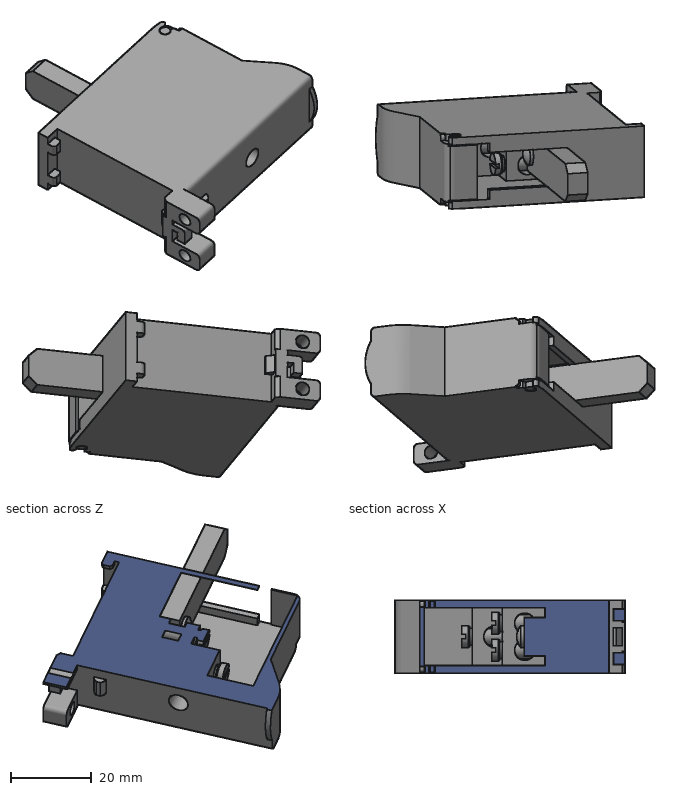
import cadquery as cq
import math

LENGTH = 69.7
HEIGHT = 57.2
WIDTH = 18.2
MID_Z = WIDTH / 2

FRONT_X = 19.25
BACK_X = 61.2
SHOULDER_Y = 51.1
SLOPE_X = 43.85
SLOPE_ANGLE = math.radians(30)
CREST_X = 56.9
CREST_RADIUS = 11.15
CORNER_RADIUS = 2.2
EDGE_RADIUS = 1.1

RECESS_START_X = 22.15
RECESS_END_X = 58.1
RECESS_DEPTH = 4.0
FOOT_HEIGHT = 6.1
HEEL_CHAMFER_X = 1.1
HEEL_CHAMFER_Y = 0.8
PRONG_WIDTH = 5.5
EAR_HOLE_X = 65.1
EAR_HOLE_OFFSET = 6.3
EAR_HOLE_DIAMETER = 3.4

HOOK_HEIGHT = 2.9
HOOK_REACH = 2.15
HOOK_WIDTH = 3.0
HOOK_OFFSET = 5.45
HOOK_ROUND_LENGTH = 1.1
HOOK_ROUND_RADIUS = 1.2
HOOK_BEVEL = 0.55
LATCH_WIDTH = 4.5
LATCH_TIP_X = 56.2
LATCH_TIP_Y = 2.2
TAB_END_X = 65.0
TAB_NOTCH_X = 62.7
TAB_NOTCH_WIDTH = 2.6
TAB_RADIUS = 0.85

STOP_REACH = 1.5
LIP_DEPTH = 1.3
LIP_HALF_SPAN = 5.65
BEAD_BOTTOM_Y = 10.5
BEAD_TOP_Y = 13.7
BEAD_FLAT_HALF = 0.5
BEAD_RADIUS = 2.3

BLADE_WIDTH = 9.6
BLADE_BOTTOM_Y = 19.9
BLADE_TOP_Y = 25.1
BLADE_CHAMFER_X = 2.2
BLADE_CHAMFER_Z = 2.1

SIDE_WALL = 1.95
FRONT_WALL = 1.7
COVER_THICKNESS = 0.55
COVER_GAP = 0.2
COVER_BOTTOM_Y = 43.1
WIDE_OPENING_Y = 39.9
CAVITY_TOP_Y = 49.9
LOWER_STEP_X = 37.65
LOWER_STEP_Y = 30.5
UPPER_STEP_X = 44.6
UPPER_STEP_Y = 38.0
CAVITY_BACK_X = 54.4

HEAD_RADIUS = 2.7
HEAD_BASE_RADIUS = 2.45
HEAD_GAP = 0.6
HEAD_BEVEL = 0.4
HEAD_HEIGHT = 2.6
SLOT_DEPTH = 0.9
SLOT_WIDTH = 1.1
SHANK_RADIUS = 2.1
WIRE_HOLE_RADIUS = 2.5
SHANK_OVERRUN = 0.4
SCREW_SETBACK = 3.15
PAIR_OFFSET = 3.35
UPPER_WIRE_Y = 32.6
LOWER_WIRE_Y = 24.95
LOWER_WIRE_DEPTH = 7.0
CROWN_EDGE_HEIGHT = 0.85
CROWN_HEIGHT = 1.9

PIN_X = 22.15
PIN_Y = 47.95
PIN_RADIUS = 1.3
PIN_DROP = 0.2
HINGE_DEPTH = 1.7
SOCKET_RADIUS = 1.4
RELIEF_BASE_Y = 50.0
RELIEF_END_X = 24.95
EAR_PEAK = (20.2, 50.1)
EAR_SHOULDER = (20.85, 49.85)
NECK_HALF_WIDTH = 1.05
NECK_RISE = 0.8
NECK_FLARE = 0.35
SILL_RADIUS = 0.85
SILL_DEPTH = 1.1
WALL_CORNER = [(FRONT_X, 46.1), (FRONT_X + 0.1, 47.75), (FRONT_X + 0.3, 49.4), (FRONT_X + 0.5, 49.85)]


def bar(x0, x1, y0, y1, z0, z1):
    """Box between two opposite corners."""
    return cq.Workplane("XY").box(x1 - x0, y1 - y0, z1 - z0, centered=False).translate((x0, y0, z0))


def centred_bar(x0, x1, y0, y1, width, mid_z=MID_Z):
    """Box of the given width, centred on mid_z."""
    return bar(x0, x1, y0, y1, mid_z - width / 2, mid_z + width / 2)


def plate(outline, width, mid_z=MID_Z):
    """Extrude an XY outline to the given width, centred on mid_z."""
    return outline.close().extrude(width).translate((0, 0, mid_z - width / 2))


def post(radius, x, y0, y1, z):
    """Round post standing along Y."""
    return cq.Workplane("XZ", origin=(x, y0, z)).circle(radius).extrude(y0 - y1)


def make_housing():
    """Main block with the raised crest and the recess that sits over the rail."""
    sin_a, cos_a = math.sin(SLOPE_ANGLE), math.cos(SLOPE_ANGLE)
    arc_centre_y = HEIGHT - CREST_RADIUS
    arc_start = (CREST_X - CREST_RADIUS * sin_a, arc_centre_y + CREST_RADIUS * cos_a)
    arc_middle = (
        CREST_X - CREST_RADIUS * math.sin(SLOPE_ANGLE / 2),
        arc_centre_y + CREST_RADIUS * math.cos(SLOPE_ANGLE / 2),
    )
    outline = (
        cq.Workplane("XY")
        .moveTo(FRONT_X, 0)
        .lineTo(FRONT_X, SHOULDER_Y - CORNER_RADIUS)
        .radiusArc((FRONT_X + CORNER_RADIUS, SHOULDER_Y), CORNER_RADIUS)
        .lineTo(SLOPE_X, SHOULDER_Y)
        .lineTo(*arc_start)
        .threePointArc(arc_middle, (CREST_X, HEIGHT))
        .lineTo(BACK_X, HEIGHT)
        .lineTo(BACK_X, 0)
    )
    housing = plate(outline, WIDTH).edges(">X and |Y").fillet(EDGE_RADIUS)
    return housing.cut(bar(RECESS_START_X, RECESS_END_X, 0, RECESS_DEPTH, 0, WIDTH))


def make_foot():
    """Two rounded mounting prongs with a chamfered heel, joined by a plain web."""
    foot = centred_bar(RECESS_END_X, BACK_X, 0, FOOT_HEIGHT, WIDTH - 2 * PRONG_WIDTH)
    for side in (-1, 1):
        mid_z = MID_Z + side * (WIDTH - PRONG_WIDTH) / 2
        prong = centred_bar(RECESS_END_X, LENGTH, 0, FOOT_HEIGHT, PRONG_WIDTH, mid_z)
        prong = prong.edges(">X and |Y").fillet(EDGE_RADIUS)
        heel = cq.Workplane("XY").polyline([
            (RECESS_END_X, 0),
            (RECESS_END_X + HEEL_CHAMFER_X, 0),
            (RECESS_END_X, HEEL_CHAMFER_Y),
        ])
        prong = prong.cut(plate(heel, PRONG_WIDTH, mid_z))
        hole_z = MID_Z + side * EAR_HOLE_OFFSET
        foot = foot.union(prong.cut(post(EAR_HOLE_DIAMETER / 2, EAR_HOLE_X, 0, FOOT_HEIGHT, hole_z)))
    return foot


def make_rail_hooks():
    """Two fixed hooks with a rounded nose and a bevelled upper edge."""
    nose_x = RECESS_START_X + HOOK_REACH
    nose_y = HOOK_ROUND_RADIUS - math.sqrt(HOOK_ROUND_RADIUS**2 - HOOK_ROUND_LENGTH**2)
    hooks = cq.Workplane("XY")
    for side in (-1, 1):
        outline = (
            cq.Workplane("XY")
            .moveTo(FRONT_X, 0)
            .lineTo(nose_x - HOOK_ROUND_LENGTH, 0)
            .radiusArc((nose_x, nose_y), -HOOK_ROUND_RADIUS)
            .lineTo(nose_x, HOOK_HEIGHT - HOOK_BEVEL)
            .lineTo(nose_x - HOOK_BEVEL, HOOK_HEIGHT)
            .lineTo(FRONT_X, HOOK_HEIGHT)
        )
        hooks = hooks.union(plate(outline, HOOK_WIDTH, MID_Z + side * HOOK_OFFSET))
    return hooks


def make_latch():
    """Wedge-shaped rail catch and the hooked pull tab on its other end."""
    catch = cq.Workplane("XY").polyline([
        (LATCH_TIP_X, HOOK_HEIGHT),
        (LATCH_TIP_X, LATCH_TIP_Y),
        (RECESS_END_X, HEEL_CHAMFER_Y),
        (BACK_X, HEEL_CHAMFER_Y),
        (BACK_X, HOOK_HEIGHT),
    ])
    tab_bottom_z = MID_Z - LATCH_WIDTH / 2
    tab = centred_bar(RECESS_END_X, TAB_END_X, 0, HOOK_HEIGHT, LATCH_WIDTH)
    tab = tab.edges(">X and >Z").fillet(TAB_RADIUS)
    notch = bar(BACK_X, TAB_NOTCH_X, 0, HOOK_HEIGHT, tab_bottom_z, tab_bottom_z + TAB_NOTCH_WIDTH)
    return plate(catch, LATCH_WIDTH).union(tab.cut(notch))


def make_back_stops():
    """Bowed lip at the crest and rounded bead low on the back face."""
    stop_x = BACK_X + STOP_REACH
    lip = (
        cq.Workplane("XZ", origin=(0, HEIGHT, 0))
        .moveTo(BACK_X - EDGE_RADIUS, MID_Z - LIP_HALF_SPAN)
        .lineTo(BACK_X, MID_Z - LIP_HALF_SPAN)
        .threePointArc((stop_x, MID_Z), (BACK_X, MID_Z + LIP_HALF_SPAN))
        .lineTo(BACK_X - EDGE_RADIUS, MID_Z + LIP_HALF_SPAN)
        .close()
        .extrude(LIP_DEPTH)
    )
    bead_y = (BEAD_BOTTOM_Y + BEAD_TOP_Y) / 2
    bead = (
        cq.Workplane("XY")
        .moveTo(BACK_X, BEAD_BOTTOM_Y)
        .radiusArc((stop_x, bead_y - BEAD_FLAT_HALF), -BEAD_RADIUS)
        .lineTo(stop_x, bead_y + BEAD_FLAT_HALF)
        .radiusArc((BACK_X, BEAD_TOP_Y), -BEAD_RADIUS)
    )
    return lip.union(plate(bead, LATCH_WIDTH))


def make_cavity():
    """Stepped inner space, open at the front below the cover."""
    wall_x = FRONT_X + FRONT_WALL
    inner_width = WIDTH - 2 * SIDE_WALL
    steps = cq.Workplane("XY").polyline([
        (wall_x, BLADE_BOTTOM_Y),
        (LOWER_STEP_X, BLADE_BOTTOM_Y),
        (LOWER_STEP_X, LOWER_STEP_Y),
        (UPPER_STEP_X, LOWER_STEP_Y),
        (UPPER_STEP_X, UPPER_STEP_Y),
        (CAVITY_BACK_X, UPPER_STEP_Y),
        (CAVITY_BACK_X, CAVITY_TOP_Y),
        (wall_x, CAVITY_TOP_Y),
    ])
    cavity = plate(steps, inner_width)
    cavity = cavity.union(centred_bar(FRONT_X, wall_x, BLADE_BOTTOM_Y, WIDE_OPENING_Y, BLADE_WIDTH))
    cavity = cavity.union(centred_bar(FRONT_X, wall_x, WIDE_OPENING_Y, COVER_BOTTOM_Y, inner_width))
    behind_cover_x = FRONT_X + COVER_THICKNESS
    return cavity.union(centred_bar(behind_cover_x, wall_x, COVER_BOTTOM_Y, CAVITY_TOP_Y, inner_width))


def make_cover_gaps():
    """Narrow grooves between the side walls and the cover."""
    gaps = cq.Workplane("XY")
    for side in (-1, 1):
        mid_z = MID_Z + side * (MID_Z - SIDE_WALL - COVER_GAP / 2)
        gap = centred_bar(FRONT_X, FRONT_X + COVER_THICKNESS, COVER_BOTTOM_Y, SHOULDER_Y, COVER_GAP, mid_z)
        gaps = gaps.union(gap)
    return gaps


def make_blade():
    """Contact blade with a bevelled tip, running in to the lower step."""
    blade = centred_bar(0, LOWER_STEP_X, BLADE_BOTTOM_Y, BLADE_TOP_Y, BLADE_WIDTH)
    corners = cq.Workplane("XZ", origin=(0, BLADE_TOP_Y, 0))
    for side in (-1, 1):
        edge_z = MID_Z + side * BLADE_WIDTH / 2
        corners = corners.polyline([
            (0, edge_z),
            (BLADE_CHAMFER_X, edge_z),
            (0, edge_z - side * BLADE_CHAMFER_Z),
        ]).close()
    return blade.cut(corners.extrude(BLADE_TOP_Y - BLADE_BOTTOM_Y))


def make_screw(step_x, step_y, wire_y, z):
    """Slotted terminal screw whose shank crosses the wire hole under its step."""
    x = step_x + SCREW_SETBACK
    base_y = step_y + HEAD_GAP
    top_y = step_y + HEAD_HEIGHT
    head = (
        cq.Workplane("XY")
        .polyline([
            (0, base_y),
            (-HEAD_BASE_RADIUS, base_y),
            (-HEAD_RADIUS, base_y + HEAD_BEVEL),
            (-HEAD_RADIUS, top_y),
            (0, top_y),
        ])
        .close()
        .revolve(360, (0, 0), (0, 1))
        .translate((x, 0, z))
    )
    slot = centred_bar(x - HEAD_RADIUS, x + HEAD_RADIUS, top_y - SLOT_DEPTH, top_y, SLOT_WIDTH, z)
    shank = post(SHANK_RADIUS, x, wire_y - WIRE_HOLE_RADIUS - SHANK_OVERRUN, base_y, z)
    return head.cut(slot).union(shank)


def make_wire_hole(step_x, wire_y, z, depth):
    """Round wire entry running along X from the face of a step."""
    return cq.Workplane("YZ", origin=(step_x, wire_y, z)).circle(WIRE_HOLE_RADIUS).extrude(depth)


def make_crowned_screw():
    """Low domed screw head on the blade, in front of the lower step."""
    edge_y = BLADE_TOP_Y + CROWN_EDGE_HEIGHT
    rise = CROWN_HEIGHT - CROWN_EDGE_HEIGHT
    crown_radius = (HEAD_RADIUS**2 + rise**2) / (2 * rise)
    return (
        cq.Workplane("XY")
        .moveTo(0, BLADE_TOP_Y)
        .lineTo(-HEAD_RADIUS, BLADE_TOP_Y)
        .lineTo(-HEAD_RADIUS, edge_y)
        .radiusArc((0, BLADE_TOP_Y + CROWN_HEIGHT), crown_radius)
        .close()
        .revolve(360, (0, 0), (0, 1))
        .translate((LOWER_STEP_X - SCREW_SETBACK, 0, MID_Z))
    )


def make_hinge_relief(side):
    """Pocket in one side wall around the hinge, with the wall corner set back behind the cover."""
    outer_z = MID_Z + side * WIDTH / 2
    pocket_z = outer_z - side * HINGE_DEPTH / 2
    wall_z = outer_z - side * SIDE_WALL / 2
    outside_x = FRONT_X - SIDE_WALL
    neck_y = PIN_Y + NECK_RISE
    neck_right_x = PIN_X + NECK_HALF_WIDTH
    ear = (
        cq.Workplane("XY")
        .moveTo(outside_x, RELIEF_BASE_Y)
        .lineTo(*WALL_CORNER[-1])
        .threePointArc(EAR_PEAK, EAR_SHOULDER)
        .lineTo(PIN_X - NECK_HALF_WIDTH, neck_y)
        .lineTo(neck_right_x, neck_y)
        .radiusArc((neck_right_x + NECK_FLARE, RELIEF_BASE_Y), RELIEF_BASE_Y - neck_y)
        .lineTo(RELIEF_END_X, RELIEF_BASE_Y)
        .lineTo(RELIEF_END_X, SHOULDER_Y)
        .lineTo(outside_x, SHOULDER_Y)
    )
    socket = cq.Workplane("XY").center(PIN_X, PIN_Y).circle(SOCKET_RADIUS).extrude(HINGE_DEPTH)
    setback = cq.Workplane("XY").polyline([
        (outside_x, WALL_CORNER[0][1]),
        *WALL_CORNER,
        (outside_x, RELIEF_BASE_Y),
    ])
    relief = plate(ear, HINGE_DEPTH, pocket_z).union(socket.translate((0, 0, pocket_z - HINGE_DEPTH / 2)))
    return relief.union(plate(setback, SIDE_WALL, wall_z))


def make_hinge_sill(side):
    """Step with a rounded nose at the back end of the hinge pocket."""
    step_z = MID_Z + side * (WIDTH / 2 - SILL_DEPTH)
    step_x = RELIEF_END_X - SILL_RADIUS
    step_thickness = SIDE_WALL - SILL_DEPTH
    step = centred_bar(
        step_x, RELIEF_END_X, RELIEF_BASE_Y, SHOULDER_Y, step_thickness, step_z - side * step_thickness / 2
    )
    return step.union(post(SILL_RADIUS, RELIEF_END_X, RELIEF_BASE_Y, SHOULDER_Y, step_z))


def make_hinge_pin(side):
    """Pin standing slightly below the side face."""
    pin = cq.Workplane("XY").center(PIN_X, PIN_Y).circle(PIN_RADIUS).extrude(HINGE_DEPTH)
    pin_z = MID_Z + side * (WIDTH / 2 - PIN_DROP - HINGE_DEPTH / 2)
    return pin.translate((0, 0, pin_z - HINGE_DEPTH / 2))


result = make_housing().cut(bar(RECESS_END_X, BACK_X, 0, FOOT_HEIGHT, 0, WIDTH))
for feature in (make_foot(), make_rail_hooks(), make_latch(), make_back_stops()):
    result = result.union(feature)
result = result.cut(make_cavity()).cut(make_cover_gaps())

for side in (-1, 1):
    result = result.cut(make_hinge_relief(side))
    result = result.union(make_hinge_pin(side)).union(make_hinge_sill(side))

result = result.union(make_blade()).union(make_crowned_screw())
result = result.cut(make_wire_hole(UPPER_STEP_X, UPPER_WIRE_Y, MID_Z, BACK_X - UPPER_STEP_X))
result = result.union(make_screw(UPPER_STEP_X, UPPER_STEP_Y, UPPER_WIRE_Y, MID_Z))
for side in (-1, 1):
    screw_z = MID_Z + side * PAIR_OFFSET
    result = result.cut(make_wire_hole(LOWER_STEP_X, LOWER_WIRE_Y, screw_z, LOWER_WIRE_DEPTH))
    result = result.union(make_screw(LOWER_STEP_X, LOWER_STEP_Y, LOWER_WIRE_Y, screw_z))